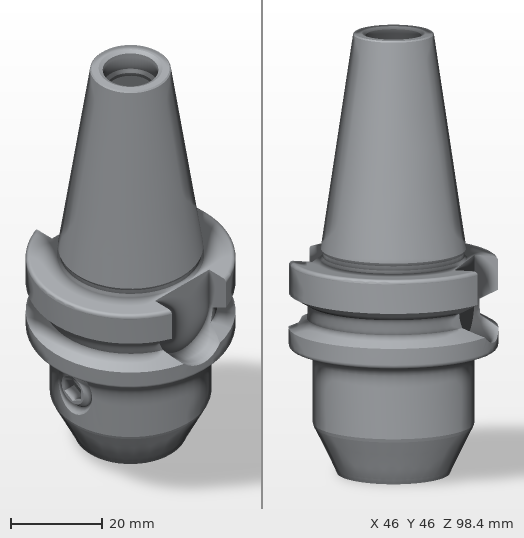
import cadquery as cq
import math

TOTAL_HEIGHT = 98.4

NOSE_END_RADIUS = 12.4
NOSE_CHAMFER_RADIUS = 12.9
NOSE_CHAMFER_HEIGHT = 1.2
NOSE_RADIUS = 17.7
NOSE_CONE_RADIUS = 17.4
NOSE_CONE_TOP = 10.4
NOSE_SHOULDER_HEIGHT = 11.2
ROOT_FILLET = 2.6

FLANGE_DIAMETER = 46.0
FLANGE_RADIUS = FLANGE_DIAMETER / 2
FLANGE_BOTTOM = 28.0
FLANGE_TOP = 47.9
FLANGE_ROUNDING = 0.9
GROOVE_RADIUS = 19.1
GROOVE_BOTTOM = 34.8
GROOVE_TOP = 38.2
GROOVE_FLANK_ANGLE = 30.0
GROOVE_FLANK_HEIGHT = (FLANGE_RADIUS - GROOVE_RADIUS) * math.tan(math.radians(GROOVE_FLANK_ANGLE))

RELIEF_RADIUS = 15.5
RELIEF_FLARE = 0.6
RELIEF_TOP = 49.5

TAPER_START = 50.2
TAPER_BASE_RADIUS = 15.9
TAPER_TOP_RADIUS = 8.9
TAPER_EDGE_CHAMFER = 0.3

BORE_MOUTH_RADIUS = 7.0
BORE_RADIUS = 6.1
BORE_MOUTH_DEPTH = 0.5
BORE_DEPTH = 4.6
PILOT_RADIUS = 5.2
PILOT_CONE_END = BORE_DEPTH + 0.5
PILOT_DEPTH = 5.9

SLOT_FLAT_OFFSET = 16.1
SLOT_RADIUS = 8.3
SLOT_BOTTOM = 30.5
SLOT_CENTER_HEIGHT = SLOT_BOTTOM + SLOT_RADIUS

SCREW_HEIGHT = 20.1
SCREW_RADIUS = 4.6
SCREW_FACE_RADIUS = 3.4
SCREW_LENGTH = 11.8
SCREW_CHAMFER = SCREW_RADIUS - SCREW_FACE_RADIUS
SOCKET_FLATS = 5.1
SOCKET_DEPTH = 3.0
COUNTERSINK_RADIUS = 6.2
COUNTERSINK_DEPTH = 1.4
HEX_HALF_ANGLE = 30.0


def revolve_outline(outline):
    """Revolve a closed radius-height outline around the Z axis."""
    return outline.close().revolve(360, (0, 0, 0), (0, 1, 0))


def make_body_blank():
    """Nose, flange and taper as one turned shape."""
    outline = (
        cq.Workplane("XZ")
        .lineTo(NOSE_END_RADIUS, 0)
        .lineTo(NOSE_CHAMFER_RADIUS, NOSE_CHAMFER_HEIGHT)
        .lineTo(NOSE_CONE_RADIUS, NOSE_CONE_TOP)
        .lineTo(NOSE_RADIUS, NOSE_SHOULDER_HEIGHT)
        .lineTo(NOSE_RADIUS, FLANGE_BOTTOM - ROOT_FILLET)
        .radiusArc((NOSE_RADIUS + ROOT_FILLET, FLANGE_BOTTOM), ROOT_FILLET)
        .lineTo(FLANGE_RADIUS - FLANGE_ROUNDING, FLANGE_BOTTOM)
        .radiusArc((FLANGE_RADIUS, FLANGE_BOTTOM + FLANGE_ROUNDING), -FLANGE_ROUNDING)
        .lineTo(FLANGE_RADIUS, GROOVE_BOTTOM - GROOVE_FLANK_HEIGHT)
        .lineTo(GROOVE_RADIUS, GROOVE_BOTTOM)
        .lineTo(GROOVE_RADIUS, GROOVE_TOP)
        .lineTo(FLANGE_RADIUS, GROOVE_TOP + GROOVE_FLANK_HEIGHT)
        .lineTo(FLANGE_RADIUS, FLANGE_TOP - FLANGE_ROUNDING)
        .radiusArc((FLANGE_RADIUS - FLANGE_ROUNDING, FLANGE_TOP), -FLANGE_ROUNDING)
        .lineTo(RELIEF_RADIUS + RELIEF_FLARE, FLANGE_TOP)
        .lineTo(RELIEF_RADIUS, FLANGE_TOP + RELIEF_FLARE)
        .lineTo(RELIEF_RADIUS, RELIEF_TOP)
        .lineTo(TAPER_BASE_RADIUS, TAPER_START)
        .lineTo(TAPER_TOP_RADIUS, TOTAL_HEIGHT - TAPER_EDGE_CHAMFER)
        .lineTo(TAPER_TOP_RADIUS - TAPER_EDGE_CHAMFER, TOTAL_HEIGHT)
        .lineTo(0, TOTAL_HEIGHT)
    )
    return revolve_outline(outline)


def make_taper_bore():
    """Chamfered bore with a smaller pilot hole, as a cutting tool."""
    outline = (
        cq.Workplane("XZ", origin=(0, 0, TOTAL_HEIGHT))
        .lineTo(BORE_MOUTH_RADIUS, 0)
        .lineTo(BORE_RADIUS, -BORE_MOUTH_DEPTH)
        .lineTo(BORE_RADIUS, -BORE_DEPTH)
        .lineTo(PILOT_RADIUS, -PILOT_CONE_END)
        .lineTo(PILOT_RADIUS, -PILOT_DEPTH)
        .lineTo(0, -PILOT_DEPTH)
    )
    return revolve_outline(outline)


def make_drive_slot(side):
    """Round-bottomed slot on the +X (side = 1) or -X (side = -1) flank, as a cutting tool."""
    return (
        cq.Workplane("YZ", origin=(side * SLOT_FLAT_OFFSET, 0, 0))
        .moveTo(-SLOT_RADIUS, FLANGE_TOP)
        .lineTo(-SLOT_RADIUS, SLOT_CENTER_HEIGHT)
        .threePointArc((0, SLOT_BOTTOM), (SLOT_RADIUS, SLOT_CENTER_HEIGHT))
        .lineTo(SLOT_RADIUS, FLANGE_TOP)
        .close()
        .extrude(side * FLANGE_RADIUS)
    )


def screw_plane():
    """Plane touching the nose at the screw, with its normal pointing out along -Y."""
    return cq.Workplane("XZ", origin=(0, -NOSE_RADIUS, SCREW_HEIGHT))


def make_screw_hole():
    """Blind screw hole and its countersink, as a cutting tool."""
    hole = screw_plane().circle(SCREW_RADIUS).extrude(-SCREW_LENGTH)
    countersink = (
        screw_plane()
        .circle(COUNTERSINK_RADIUS)
        .workplane(offset=-COUNTERSINK_DEPTH)
        .circle(SCREW_RADIUS)
        .loft()
    )
    return hole.union(countersink)


def make_housing():
    housing = make_body_blank().cut(make_taper_bore())
    for side in (-1, 1):
        housing = housing.cut(make_drive_slot(side))
    return housing.cut(make_screw_hole())


def make_screw():
    """Set screw with a chamfered face and a hexagon socket."""
    socket_corner_diameter = SOCKET_FLATS / math.cos(math.radians(HEX_HALF_ANGLE))
    blank = screw_plane().circle(SCREW_RADIUS).extrude(-SCREW_LENGTH).faces("<Y").chamfer(SCREW_CHAMFER)
    socket = (
        screw_plane()
        .transformed(rotate=(0, 0, HEX_HALF_ANGLE))
        .polygon(6, socket_corner_diameter)
        .extrude(-SOCKET_DEPTH)
    )
    return blank.cut(socket)


housing = make_housing()
screw = make_screw()
result = cq.Compound.makeCompound([housing.val(), screw.val()])